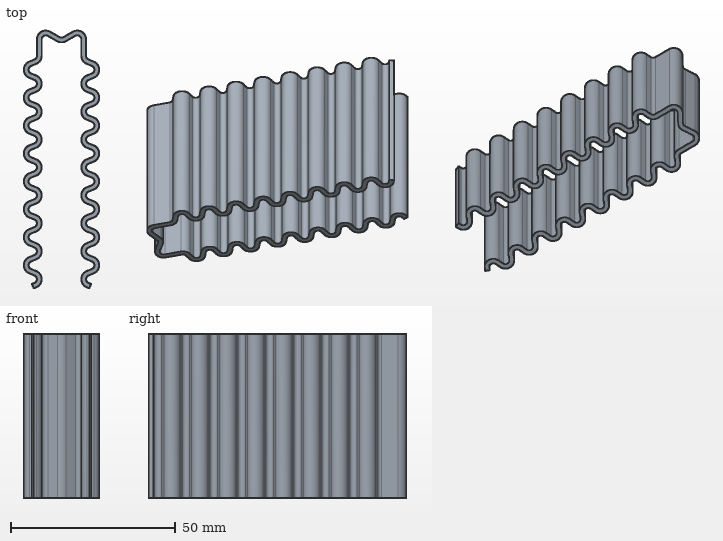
import cadquery as cq
import math

height = 50.0
thickness = 1.5
width = 23.0
bend_radius = 1.95
wave_depth = 4.0
half_pitch = 4.25
half_wave_count = 16
shoulder_length = 5.0
dent_angle = math.radians(30.0)

shoulder_x = width / 2 - thickness / 2 - wave_depth
crown_y = -thickness / 2

straight_run = wave_depth - 2 * bend_radius
flank_angle = math.acos(2 * bend_radius / math.hypot(half_pitch, straight_run)) - math.atan2(
    straight_run, half_pitch
)
flank_length = (straight_run + 2 * bend_radius * math.sin(flank_angle)) / math.cos(flank_angle)
flank_turn = math.pi / 2 - flank_angle

crown_bend_x = shoulder_x - bend_radius
dent_length = (crown_bend_x - 2 * bend_radius * math.sin(dent_angle)) / math.cos(dent_angle)
dent_depth = 2 * bend_radius * (1 - math.cos(dent_angle)) + dent_length * math.sin(dent_angle)


def line(length):
    """Straight stretch of the strip."""
    return {"length": length, "turn": 0.0}


def bend(turn):
    """Bend of the strip; a positive turn is counter-clockwise."""
    return {"length": bend_radius * abs(turn), "turn": turn}


def half_strip_moves():
    """Centreline moves from the middle of the V dent to the cut end of the +X leg."""
    moves = [
        bend(dent_angle),
        line(dent_length),
        bend(-dent_angle - math.pi / 2),
        line(shoulder_length),
    ]
    side = 1
    for _ in range(half_wave_count):
        moves += [bend(side * flank_turn), line(flank_length), bend(side * -flank_turn)]
        side = -side
    moves += [bend(side * flank_turn), line(flank_length / 2)]
    return moves


def advance(pose, move, fraction):
    """Pose (x, y, heading) after the given fraction of a move."""
    x, y, heading = pose
    turn = move["turn"] * fraction
    chord = move["length"] * fraction
    if turn:
        chord *= math.sin(turn / 2) / (turn / 2)
    direction = heading + turn / 2
    return (x + chord * math.cos(direction), y + chord * math.sin(direction), heading + turn)


def beside(pose, offset):
    """Point at a distance to the left of the centreline."""
    x, y, heading = pose
    return (x - offset * math.sin(heading), y + offset * math.cos(heading))


def add_edge(sketch, start_pose, move, end_fraction, offset):
    """Draw one face of a move, parallel to its centreline, up to its end (1.0) or start (0.0)."""
    end = beside(advance(start_pose, move, end_fraction), offset)
    if move["turn"] == 0:
        return sketch.lineTo(*end)
    middle = beside(advance(start_pose, move, 0.5), offset)
    return sketch.threePointArc(middle, end)


def half_strip():
    """Extruded +X half of the strip."""
    moves = half_strip_moves()
    poses = [(0.0, crown_y - dent_depth, 0.0)]
    for move in moves:
        poses.append(advance(poses[-1], move, 1.0))

    left = thickness / 2
    right = -thickness / 2
    sketch = cq.Workplane("XY").moveTo(*beside(poses[0], left))
    for pose, move in zip(poses, moves):
        sketch = add_edge(sketch, pose, move, 1.0, left)
    sketch = sketch.lineTo(*beside(poses[-1], right))
    for pose, move in reversed(list(zip(poses, moves))):
        sketch = add_edge(sketch, pose, move, 0.0, right)
    return sketch.close().extrude(height)


right_half = half_strip()
result = right_half.union(right_half.mirror("YZ")).clean()